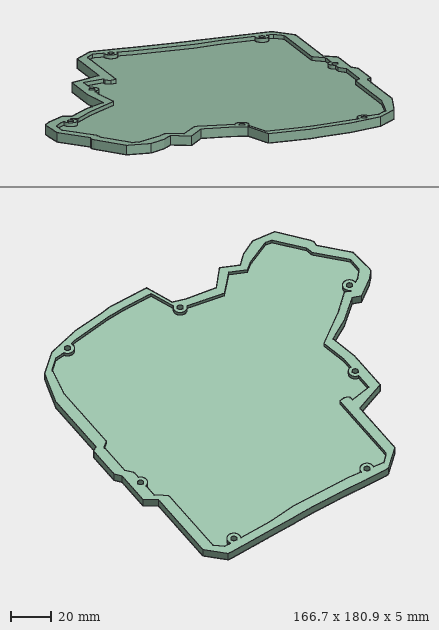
import cadquery as cq
plate_thickness = 5.0
pocket_depth = 2.0
screw_hole_diameter = 3.05
boss_diameter = 7.0

half_length = 166.67 / 2
half_width = 180.94 / 2

rim_upper_left_y = 81.6
rim_top_y = 87.9
rim_lower_left_y = -35.2
rim_lower_step_y = -52.2
pocket_upper_left_y = 75.8
pocket_top_y = 81.6
pocket_lower_left_y = -29.5
pocket_lower_step_y = -46.6
notch_y = -35.2

outer_corners = [
    (29.7, -90.3),
    (31.4, -half_width),
    (44.7, -89.6),
    (58.7, -77.1),
    (61.3, -77.5),
    (63.1, -76.5),
    (77.8, -64.9),
    (79.0, -52.3),
    (74.4, -43.7),
    (69.4, -38.4),
    (73.8, -28.8),
    (63.9, -20.2),
    (66.3, -3.6),
    (68.5, 3.3),
    (half_length, 8.6),
    (half_length, 31.0),
    (82.2, 37.0),
    (80.2, 53.6),
    (75.1, 71.4),
    (65.7, 82.1),
    (47.3, rim_top_y),
    (11.7, rim_top_y),
    (9.8, half_width),
    (-8.2, half_width),
    (-11.5, rim_top_y),
    (-30.3, rim_top_y),
    (-34.5, rim_upper_left_y),
    (-74.0, rim_upper_left_y),
    (-83.2, 72.6),
    (-half_length, 70.7),
    (-82.8, 54.9),
    (-82.5, 46.6),
    (-82.1, 32.0),
    (-81.9, 28.9),
    (-81.6, 20.6),
    (-81.6, 2.2),
    (-81.8, -6.0),
    (-81.95, -8.6),
    (-82.1, -23.8),
    (-81.8, -25.1),
    (-72.6, rim_lower_left_y),
    (-41.5, rim_lower_left_y),
    (-35.3, -50.4),
    (-34.6, rim_lower_step_y),
    (-11.7, rim_lower_step_y),
    (3.5, -49.6),
    (10.5, -61.2),
    (20.4, -72.6),
    (18.7, -77.1),
    (25.6, -86.5),
]

pocket_corners = [
    (33.9, -85.9),
    (41.5, -85.9),
    (56.1, -72.6),
    (59.9, -72.0),
    (73.9, -60.6),
    (74.5, -57.0),
    (68.2, -43.8),
    (64.8, -39.6),
    (68.7, -31.0),
    (58.6, -21.5),
    (62.3, -1.0),
    (62.3, 2.9),
    (78.9, 8.9),
    (78.9, 26.0),
    (78.3, 35.2),
    (75.0, 58.0),
    (71.3, 67.0),
    (70.7, 72.0),
    (65.6, 77.7),
    (49.1, pocket_top_y),
    (11.7, pocket_top_y),
    (9.2, 84.7),
    (-9.2, 84.7),
    (-13.0, pocket_top_y),
    (-30.8, pocket_top_y),
    (-35.2, pocket_upper_left_y),
    (-74.5, pocket_upper_left_y),
    (-78.3, 71.4),
    (-78.3, 62.0),
    (-77.7, 43.5),
    (-75.8, 28.2),
    (-75.8, -5.0),
    (-77.6, -25.1),
    (-73.3, pocket_lower_left_y),
    (-32.1, pocket_lower_left_y),
    (-31.4, -32.6),
    (-32.7, notch_y),
    (-35.0, notch_y),
    (-32.7, pocket_lower_step_y),
    (-10.5, pocket_lower_step_y),
    (3.5, -44.1),
    (16.2, -61.2),
    (25.7, -71.5),
    (24.2, -74.3),
    (28.0, -80.0),
    (29.3, -81.9),
]

screw_positions = [
    (-76.7, 64.7),
    (-76.2, -15.9),
    (-20.2, 82.6),
    (-20.2, -46.9),
    (72.9, 63.4),
    (63.4, 1.9),
    (27.9, -76.1),
]


def prism(corners, height):
    return cq.Workplane("XY").polyline(corners).close().extrude(height)


def discs(diameter, height):
    return cq.Workplane("XY").pushPoints(screw_positions).circle(diameter / 2).extrude(height)


blank = prism(outer_corners, plate_thickness)

floor_thickness = plate_thickness - pocket_depth
bosses = discs(boss_diameter, plate_thickness)
pocket = prism(pocket_corners, pocket_depth).translate((0, 0, floor_thickness)).cut(bosses)

screw_holes = discs(screw_hole_diameter, plate_thickness)

result = blank.cut(pocket).cut(screw_holes)